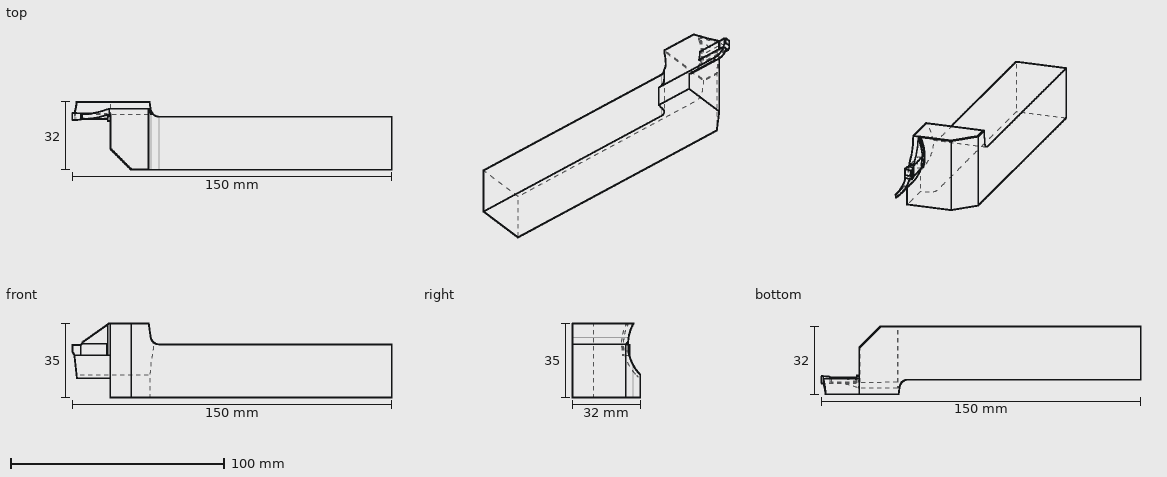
import cadquery as cq
import math

LENGTH = 150.0
HEAD_WIDTH = 32.0
HEAD_HEIGHT = 35.0
SHANK_SIZE = 25.0

HEAD_FACE_X = 17.8
HEAD_BACK_X = 36.0
BACK_SLOPE = 8.0
NECK_FILLET = 3.9
CORNER_CHAMFER = 9.9
TOP_CHAMFER = 0.3

BACK_RADIUS = 20.2
BACK_VERTEX_Y = 26.1
BACK_CENTRE_Z = 24.9
FRONT_RADIUS = 20.7
FRONT_VERTEX_Y = 23.8
FRONT_CENTRE_Z = 25.4
FLANGE_X = 16.6
FLANGE_STEP = 0.9
BLADE_BOTTOM_Z = 9.0
BLADE_BOTTOM_X = 2.2
BLADE_SEAT_X = 1.0
FINGER_X = 4.8
FINGER_NOSE = 0.6

SEAT_Z = 20.0
SLOT_TOP_Z = 25.4
INSERT_END_X = 16.2
INSERT_HEAD_X = 4.0
INSERT_HEAD_TOP_Z = 24.8
INSERT_HEAD_FRONT_Y = 23.2
INSERT_HEAD_BACK_Y = 26.8
RELIEF_Z = 21.9
TIP_CHAMFER = 0.5
HEAD_TAPER = 0.3


def stepped_profile(plane, head_level, depth):
    """Head and shank outline in a plane whose first axis is X, extruded by depth."""
    rise = HEAD_HEIGHT - SHANK_SIZE
    slope_run = math.tan(math.radians(BACK_SLOPE))
    neck_x = HEAD_BACK_X + rise * slope_run
    top_x = neck_x - (head_level - SHANK_SIZE) * slope_run
    turn = math.radians(90 - BACK_SLOPE)
    tangent = NECK_FILLET * math.tan(turn / 2)
    slope = math.radians(BACK_SLOPE)
    fillet_start = (neck_x - tangent * math.sin(slope), SHANK_SIZE + tangent * math.cos(slope))
    fillet_end = (neck_x + tangent, SHANK_SIZE)
    centre = (fillet_end[0], SHANK_SIZE + NECK_FILLET)
    mid_angle = math.pi + slope + turn / 2
    fillet_mid = (
        centre[0] + NECK_FILLET * math.cos(mid_angle),
        centre[1] + NECK_FILLET * math.sin(mid_angle),
    )
    return (
        cq.Workplane(plane)
        .moveTo(HEAD_FACE_X, 0)
        .lineTo(HEAD_FACE_X, head_level)
        .lineTo(top_x, head_level)
        .lineTo(*fillet_start)
        .threePointArc(fillet_mid, fillet_end)
        .lineTo(LENGTH, SHANK_SIZE)
        .lineTo(LENGTH, 0)
        .close()
        .extrude(depth)
    )


def make_cylinder(vertex_y, centre_z, radius):
    """Cylinder along X whose foremost line lies at vertex_y."""
    return cq.Workplane("YZ").center(vertex_y + radius, centre_z).circle(radius).extrude(LENGTH)


def make_head_and_shank():
    side_profile = stepped_profile("XZ", HEAD_HEIGHT, -HEAD_WIDTH)
    plan_profile = stepped_profile("XY", HEAD_WIDTH, HEAD_HEIGHT)
    body = side_profile.intersect(plan_profile)
    front_corner = cq.selectors.NearestToPointSelector((HEAD_FACE_X, 0, HEAD_HEIGHT / 2))
    body = body.edges(front_corner).chamfer(CORNER_CHAMFER)
    return body.faces(">Z").chamfer(TOP_CHAMFER)


def make_blade():
    outline = (
        cq.Workplane("XZ")
        .polyline([
            (BLADE_BOTTOM_X, BLADE_BOTTOM_Z),
            (BLADE_SEAT_X, SEAT_Z),
            (FINGER_X, SEAT_Z),
            (FINGER_X, SLOT_TOP_Z + FINGER_NOSE),
            (HEAD_FACE_X - TOP_CHAMFER, HEAD_HEIGHT),
            (HEAD_FACE_X + TOP_CHAMFER, HEAD_HEIGHT),
            (HEAD_FACE_X + TOP_CHAMFER, BLADE_BOTTOM_Z),
        ])
        .close()
        .extrude(-HEAD_WIDTH)
    )
    blade = outline.intersect(make_cylinder(FRONT_VERTEX_Y, FRONT_CENTRE_Z, FRONT_RADIUS))
    flange_space = cq.Workplane("XY").box(
        HEAD_FACE_X - FLANGE_X, HEAD_WIDTH, HEAD_HEIGHT - SEAT_Z, centered=False
    ).translate((FLANGE_X, 0, SEAT_Z))
    flange = make_cylinder(FRONT_VERTEX_Y - FLANGE_STEP, FRONT_CENTRE_Z, FRONT_RADIUS)
    flange = flange.intersect(flange_space).intersect(outline)
    return blade.union(flange)


def make_holder():
    body = make_head_and_shank().union(make_blade())
    slot = cq.Workplane("XY").box(
        INSERT_END_X, HEAD_WIDTH, SLOT_TOP_Z - SEAT_Z, centered=False
    ).translate((0, 0, SEAT_Z))
    return body.cut(make_cylinder(BACK_VERTEX_Y, BACK_CENTRE_Z, BACK_RADIUS)).cut(slot)


def make_insert():
    side_outline = (
        cq.Workplane("XZ")
        .polyline([
            (0, INSERT_HEAD_TOP_Z),
            (0, RELIEF_Z),
            (BLADE_SEAT_X, SEAT_Z),
            (INSERT_END_X, SEAT_Z),
            (INSERT_END_X, SLOT_TOP_Z),
            (FINGER_X, SLOT_TOP_Z),
            (INSERT_HEAD_X, INSERT_HEAD_TOP_Z),
        ])
        .close()
        .extrude(-HEAD_WIDTH)
    )
    plan_outline = (
        cq.Workplane("XY")
        .polyline([
            (0, INSERT_HEAD_FRONT_Y + TIP_CHAMFER),
            (TIP_CHAMFER, INSERT_HEAD_FRONT_Y),
            (INSERT_HEAD_X, INSERT_HEAD_FRONT_Y + HEAD_TAPER),
            (INSERT_HEAD_X, FRONT_VERTEX_Y),
            (INSERT_END_X, FRONT_VERTEX_Y),
            (INSERT_END_X, BACK_VERTEX_Y),
            (INSERT_HEAD_X, BACK_VERTEX_Y),
            (INSERT_HEAD_X, INSERT_HEAD_BACK_Y - HEAD_TAPER),
            (TIP_CHAMFER, INSERT_HEAD_BACK_Y),
            (0, INSERT_HEAD_BACK_Y - TIP_CHAMFER),
        ])
        .close()
        .extrude(HEAD_HEIGHT)
    )
    return side_outline.intersect(plan_outline)


holder = make_holder()
insert = make_insert()
result = cq.Compound.makeCompound([holder.val(), insert.val()])